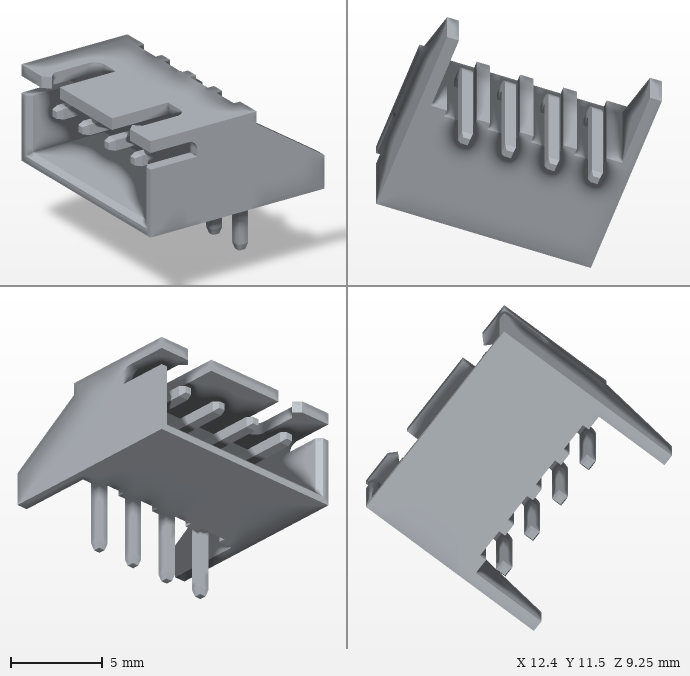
import cadquery as cq


width = 12.4
housing_depth = 7.0
height = 5.75
wall = 0.68
roof_thickness = 0.7
floor_thickness = 0.68
back_wall = 1.98
ceiling = height - roof_thickness
inner_width = width - 2 * wall

total_depth = 11.5
wing_end_height = 2.0
wing_step = 0.75

lead_in_width = 0.27
lead_in_depth = 0.3

side_slot_height = 1.0
side_slot_depth = 3.1
slot_radius = 0.61

latch_inner_x = 2.5
latch_outer_x = 4.25
latch_depth = 3.7
latch_nib = 0.4

pin_count = 4
pin_span = 7.5
pin_pitch = pin_span / (pin_count - 1)
pin_size = 0.63
pin_height = 3.56
pin_front = 0.5
pin_back = 7.91
pin_drop = 3.5
pin_bend_radius = 0.92
tip_length = 0.4
tip_inset = 0.11

notch_width = 1.72
notch_depth = 0.41

pin_positions = [i * pin_pitch - pin_span / 2 for i in range(pin_count)]


def box(x_size, y_start, y_end, z_start, z_end):
    """Box centred on x = 0 between the given y and z limits."""
    size = (x_size, y_end - y_start, z_end - z_start)
    return cq.Workplane("XY").box(*size, centered=(True, False, False)).translate((0, y_start, z_start))


def make_shell():
    """Side profile across the full width, with the space between the wings removed."""
    profile = [
        (0, 0),
        (total_depth, 0),
        (total_depth, wing_end_height),
        (housing_depth, height - wing_step),
        (housing_depth, height),
        (0, height),
    ]
    solid = cq.Workplane("YZ").polyline(profile).close().extrude(width / 2, both=True)
    return solid.cut(box(inner_width, housing_depth, total_depth, 0, height))


def make_cavity():
    """Mating cavity, flared at the mouth along the floor and both sides."""
    cavity = box(inner_width, 0, housing_depth - back_wall, floor_thickness, ceiling)

    def mouth(y, flare):
        half = inner_width / 2 + flare
        bottom = floor_thickness - flare
        corners = [(-half, bottom), (half, bottom), (half, ceiling), (-half, ceiling)]
        points = [cq.Vector(x, y, z) for x, z in corners]
        return cq.Wire.makePolygon(points, close=True)

    flare = cq.Solid.makeLoft([mouth(0, lead_in_width), mouth(lead_in_depth, 0)], True)
    return cavity.union(cq.Workplane(obj=flare))


def make_side_slots():
    """Slot through both side walls, rounded at its upper rear corner."""
    slot = box(width, 0, side_slot_depth, ceiling - side_slot_height, ceiling)
    return slot.edges("|X and >Y and >Z").fillet(slot_radius)


def make_latch_slot():
    """Right-hand roof slot with a pointed 45-degree nib at the front of its outer edge."""
    outline = [
        (latch_inner_x, 0),
        (latch_outer_x, 0),
        (latch_outer_x - latch_nib, latch_nib),
        (latch_outer_x, 2 * latch_nib),
        (latch_outer_x, latch_depth),
        (latch_inner_x, latch_depth),
    ]
    slot = cq.Workplane("XY").workplane(offset=ceiling).polyline(outline).close().extrude(roof_thickness)
    return slot.edges("|Z and >X and >Y").fillet(slot_radius)


def make_tip():
    """Tapered pin end that narrows between z = 0 and z = tip_length."""
    end_size = pin_size - 2 * tip_inset
    base = cq.Workplane("XY").rect(pin_size, pin_size)
    return base.workplane(offset=tip_length).rect(end_size, end_size).loft(ruled=True)


def make_pin():
    """Right-angle pin: a contact along Y, a round bend and a leg down through the board."""
    half = pin_size / 2
    contact_start = pin_front + tip_length
    leg_start = tip_length - pin_drop
    contact = box(pin_size, contact_start, pin_back, pin_height - half, pin_height + half)
    leg = box(pin_size, pin_back - pin_size, pin_back, leg_start, pin_height + half)
    pin = contact.union(leg)
    pin = pin.edges("|X and >Y and >Z").fillet(pin_bend_radius)
    inner_bend = cq.selectors.NearestToPointSelector((0, pin_back - pin_size, pin_height - half))
    pin = pin.edges("|X").edges(inner_bend).fillet(pin_bend_radius - pin_size)
    contact_tip = make_tip().rotate((0, 0, 0), (1, 0, 0), 90).translate((0, contact_start, pin_height))
    leg_tip = make_tip().rotate((0, 0, 0), (1, 0, 0), 180).translate((0, pin_back - half, leg_start))
    return pin.union(contact_tip).union(leg_tip)


latch_slot = make_latch_slot()
result = make_shell().cut(make_cavity()).cut(make_side_slots())
result = result.cut(latch_slot).cut(latch_slot.mirror("YZ"))

notch = box(notch_width, housing_depth - notch_depth, housing_depth, 0, height)
for x in pin_positions:
    result = result.cut(notch.translate((x, 0, 0)))

pin = make_pin()
for x in pin_positions:
    result = result.union(pin.translate((x, 0, 0)))